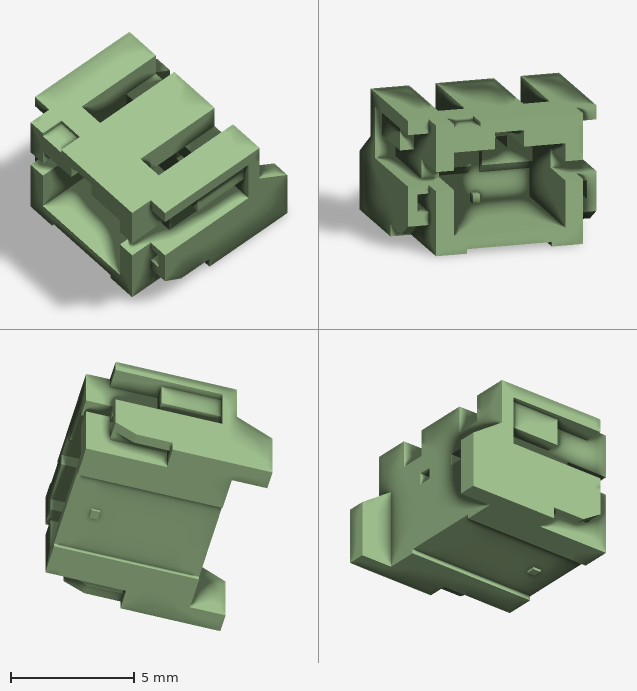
import cadquery as cq


width = 8.0
depth = 7.6
height = 5.5
half_width = width / 2
body_back = 6.1
wing_front = 1.0
wing_width = 0.88
core_half = half_width - wing_width

ear_width = 0.8
ear_top_front = 3.5
ear_top_back = 2.5

cavity_half = 2.37
cavity_floor = 0.75
cavity_top = 4.3
cavity_depth = 4.5
keyway_half = 0.62
keyway_top = 5.0

undercut_depth = 0.4
undercut_low = 1.95
undercut_high = undercut_low + undercut_depth
groove_half = 0.23
floor_rib_half = 0.14
floor_rib_height = 0.38
floor_rib_length = 0.38

terminal_spacing = 2.0
terminal_width = 0.6
terminal_low = 3.0
terminal_high = 3.51
slot_width = 1.13
slot_front = 2.1
mark_depth = 0.19

shelf_height = 2.74
window_top = 4.9
window_back = 5.5
boss_front = 3.0
boss_low = 3.7
boss_reach = 0.59
side_gap_depth = 2.0
side_gap_top = 3.54

skirt_width = 0.41
skirt_low = 0.5
skirt_bevel_high = 1.05
skirt_bevel_back = 1.88
relief_back = 3.4
tab_low = 1.6
tab_high = 2.38

recess_half = 1.8
recess_depth = 0.19
nub_left = -0.14
nub_right = 0.24
nub_drop = 0.1
nub_slope = 0.02
nub_front = wing_front
nub_length = 0.38


def block(x0, x1, y0, y1, z0, z1):
    """Box between two opposite corners."""
    return cq.Workplane("XY").box(x1 - x0, y1 - y0, z1 - z0, centered=False).translate((x0, y0, z0))


def side_profile(points, x0, x1):
    """Prism with a (Y, Z) outline, running from x0 to x1."""
    return cq.Workplane("YZ").workplane(offset=x0).polyline(points).close().extrude(x1 - x0)


def make_body():
    core = block(-core_half, core_half, 0, body_back, 0, height)
    wings = block(-half_width, half_width, wing_front, body_back, 0, height)
    ear_outline = [
        (body_back, 0),
        (depth, 0),
        (depth, ear_top_back),
        (body_back, ear_top_front),
    ]
    ear = side_profile(ear_outline, -half_width, -half_width + ear_width)
    return core.union(wings).union(ear).union(ear.mirror("YZ"))


def make_cavity():
    cavity = block(-cavity_half, cavity_half, 0, cavity_depth, cavity_floor, cavity_top)
    keyway = block(-keyway_half, keyway_half, 0, cavity_depth, cavity_floor, keyway_top)
    back = cavity_depth + undercut_depth
    undercut_outline = [
        (0, cavity_floor),
        (back, cavity_floor),
        (back, undercut_low),
        (cavity_depth, undercut_high),
        (0, undercut_high),
    ]
    undercut = side_profile(undercut_outline, -cavity_half, cavity_half)
    groove = block(-groove_half, groove_half, 0, back, cavity_floor, keyway_top)
    rib = block(
        -floor_rib_half, floor_rib_half, back - floor_rib_length, back,
        cavity_floor, cavity_floor + floor_rib_height,
    )
    return cavity.union(keyway).union(undercut).union(groove).cut(rib)


def make_terminal_hole(x):
    half = terminal_width / 2
    return block(x - half, x + half, 0, body_back, terminal_low, terminal_high)


def make_roof_slot():
    """Left roof slot: opens into the cavity and out through the rear wall."""
    left = -cavity_half
    return block(left, left + slot_width, slot_front, body_back, cavity_top, height)


def make_left_side_cut():
    """Everything removed from the left wing."""
    window = block(-half_width, -core_half, wing_front, window_back, shelf_height, window_top)
    boss = block(-core_half - boss_reach, -core_half, boss_front, window_back, boss_low, window_top)
    gap = block(-half_width, -cavity_half, 0, side_gap_depth, shelf_height, side_gap_top)

    relief_outline = [
        (wing_front, 0),
        (relief_back, 0),
        (relief_back, skirt_low),
        (skirt_bevel_back, skirt_low),
        (wing_front, skirt_bevel_high),
    ]
    under_skirt = side_profile(relief_outline, -half_width, -core_half)
    inner_left = -half_width + skirt_width
    behind_skirt = block(inner_left, -core_half, wing_front, relief_back, 0, skirt_bevel_high)
    tab_pocket = block(inner_left, -core_half, wing_front, relief_back, tab_low, tab_high)
    return window.cut(boss).union(gap).union(under_skirt).union(behind_skirt).union(tab_pocket)


def make_roof_mark():
    """Shallow notch at the front edge of the roof, in line with the left slot."""
    left = -cavity_half
    return block(left, left + slot_width, 0, wing_front, height - mark_depth, height)


def make_base_recess():
    return block(-recess_half, recess_half, 0, body_back, 0, recess_depth)


def make_nub():
    """Nub hanging from the base recess, with a leaning front face."""
    nub_outline = [
        (nub_front, recess_depth),
        (nub_front + nub_length, recess_depth),
        (nub_front + nub_length, recess_depth - nub_drop),
        (nub_front + nub_slope, recess_depth - nub_drop),
    ]
    return side_profile(nub_outline, nub_left, nub_right)


result = make_body().cut(make_cavity())
for side in (-1, 1):
    result = result.cut(make_terminal_hole(side * terminal_spacing / 2))
for left_cut in (make_roof_slot(), make_left_side_cut()):
    result = result.cut(left_cut).cut(left_cut.mirror("YZ"))
result = result.cut(make_roof_mark())
result = result.cut(make_base_recess())
result = result.union(make_nub())